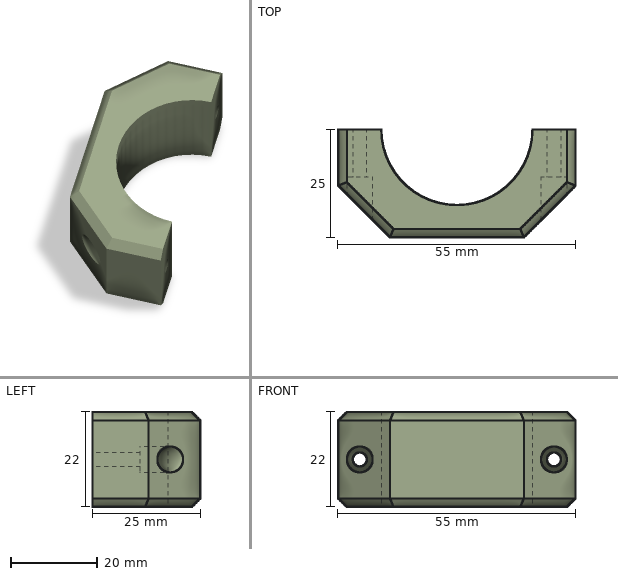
import cadquery as cq

width = 55.0
depth = 25.0
height = 22.0

corner_cut = 12.0
edge_chamfer = 2.0
bore_radius = 17.5

screw_offset = 22.5
screw_diameter = 3.2
head_diameter = 6.0
head_seat_depth = 14.0

half_width = width / 2


def clamp_body():
    """Half octagon with chamfered outer edges, leaving the split face square."""
    outline = [
        (-half_width, 0),
        (-half_width, corner_cut - depth),
        (corner_cut - half_width, -depth),
        (half_width - corner_cut, -depth),
        (half_width, corner_cut - depth),
        (half_width, 0),
    ]
    block = cq.Workplane("XY").polyline(outline).close().extrude(height / 2, both=True)
    rims = block.faces("|Z").edges("not(|X and >Y)")
    return rims.chamfer(edge_chamfer)


def screw_cylinders(diameter, start_y, end_y):
    """Pair of cylinders at the screw positions, running from start_y to end_y."""
    return (
        cq.Workplane("XZ", origin=(0, start_y, 0))
        .pushPoints([(-screw_offset, 0), (screw_offset, 0)])
        .circle(diameter / 2)
        .extrude(start_y - end_y)
    )


bore = cq.Workplane("XY").circle(bore_radius).extrude(height / 2, both=True)
screw_holes = screw_cylinders(screw_diameter, 0, -depth)
head_pockets = screw_cylinders(head_diameter, head_seat_depth - depth, -depth)

result = clamp_body().cut(bore).cut(screw_holes).cut(head_pockets)